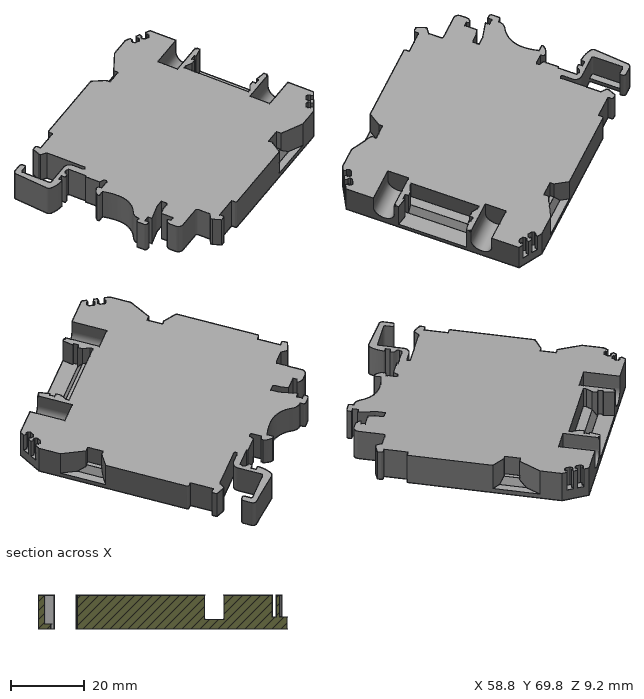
import cadquery as cq
import math

width = 58.8
height = 69.8
thickness = 9.2
half_width = width / 2
overshoot = 0.7

corner_run = 3.9
corner_drop = 6.8
corner_x = half_width - corner_run
corner_y = height - corner_drop

notch_depth = 1.5
notch_top = 20.1
notch_bottom = 13.5
lug_side_bottom = 11.95
lug_tip_y = 10.95
lug_tip_outer_x = 27.0
lug_tip_inner_x = 26.5
lug_root_x = 25.4
underside_y = 12.5
edge_round = 0.5
small_round = 0.2

arm_slot_bottom = 11.5
arm_slot_end_x = -13.3
arm_slot_round = 0.4
arm_outer_x = -18.6
arm_inner_x = -17.4
arm_bend_radius = 1.9
arm_underside_y = 9.55
arm_corner_x = -16.95
arm_corner_y = 8.7
tooth_x = -16.2
lower_tooth_top = 4.8
upper_tooth_bottom = 6.3
upper_tooth_top = 7.4
upper_tooth_root_y = 8.1
hook_floor_y = 2.4
hook_lip_top = 5.0
hook_lip_width = 1.7
hook_lip_inner_x = hook_lip_width - half_width
hook_lip_round = 0.8
hook_lip_inner_round = 0.35
hook_heel_y = 1.0
hook_heel_round = 1.05
hook_toe_x = -18.35
hook_toe_radius = 1.25
hook_bend_start = (-17.4, 0.5)
hook_bend_end = (-16.25, 4.3)
hook_bend_radius = 9.1
hook_web_top = 4.1
hook_web_thickness = 1.4
hook_web_fillet = 0.3
hook_web_side_top = 4.5

rail_step_x = -11.5
rail_step_y = 9.15
rail_end_x = -7.05
relief_top = 10.55
left_relief_left = -6.4
left_relief_right = -5.45
spur_top = 7.4
spur_shoulder_y = 7.25
spur_nose = (-6.6, 6.5)
spur_tip_x = -4.5
spur_tip_y = 4.2
spur_belly_end = (-5.2, 4.3)
spur_belly_radius = 4.2

cradle_start_y = 6.15
cradle_crown = (0.1, 6.8)
cradle_shallow_radius = 16.75
cradle_radius = 7.8
cradle_foot = (7.05, 2.7)
cradle_fillet_end_x = 9.0
cradle_fillet_radius = 2.8

foot_left = 9.5
foot_right = 12.6
foot_top = 1.5
foot_right_round = 0.7
foot_groove_left = 11.4
foot_groove_top = 3.15
slot_taper_y = 8.1

right_relief_right = 13.3
claw_shelf_left = 13.8
claw_shelf_y = 6.2
claw_shelf_right = 17.45
claw_nose = (16.5, 4.8)
claw_throat_y = 5.0
claw_bottom = 3.55
claw_right = 21.2
claw_nose_radius = 1.7
claw_nose_end_x = 18.1
claw_round = 1.5

channel_x = 14.4
channel_radius = 3.1
channel_axis_z = 5.0
channel_bottom_y = 59.75

mouth_step_width = 0.4
mouth_step_length = 0.3
mouth_step_depth = 0.4

pocket_half_width = 10.0
pocket_throat_half = 9.4
pocket_neck_half = 9.0
pocket_catch_y = 66.7
pocket_ramp_low_y = 65.25
pocket_ramp_high_y = 63.8
pocket_flare_y = 62.0
pocket_bottom_y = 61.15
pocket_floor_z = 1.25

recess_top_y = 56.95
recess_bottom_y = 43.9
recess_slot_top = 50.7
recess_slot_bottom = 46.3
recess_slant_x = 26.1
recess_slot_x = 24.7
recess_ramp_outer_x = 27.2
recess_ramp_inner_x = 25.8
recess_floor_z = 1.4
ramp_rise = 1.95

groove_mouth_width = 1.9
groove_neck_width = 1.4
groove_neck_depth = 0.9
groove_head_width = 2.2
groove_depth = 2.1
groove_head_bevel = 0.5
groove_floor_z = 3.3
groove_distances = (2.4, 5.4)


def corner_ends(before, corner, after, radius):
    """Return the two points where a round of the given radius meets the sides of a corner."""
    to_before = (cq.Vector(*before) - cq.Vector(*corner)).normalized()
    to_after = (cq.Vector(*after) - cq.Vector(*corner)).normalized()
    setback = radius / math.tan(to_before.getAngle(to_after) / 2)
    start = cq.Vector(*corner) + to_before * setback
    end = cq.Vector(*corner) + to_after * setback
    return start.toTuple()[:2], end.toTuple()[:2]


def trace(path, corners):
    """Continue a path through (x, y) corners or (x, y, radius) rounded corners.

    The first corner is the present end of the path.
    """
    for before, corner, after in zip(corners, corners[1:], corners[2:]):
        if len(corner) == 2:
            path = path.lineTo(*corner)
        else:
            start, end = corner_ends(before[:2], corner[:2], after[:2], corner[2])
            path = path.lineTo(*start).tangentArcPoint(end, relative=False)
    return path.lineTo(*corners[-1][:2])


def flank(side):
    """Corners of one outer side from the top edge down to the lug; side is -1 left, +1 right."""
    notch_x = half_width - notch_depth
    corners = [
        (corner_x, height),
        (half_width, corner_y),
        (half_width, notch_top, edge_round),
        (notch_x, notch_top),
        (notch_x, notch_bottom),
        (half_width, notch_bottom, edge_round),
        (half_width, lug_side_bottom),
        (lug_tip_outer_x, lug_tip_y),
        (lug_tip_inner_x, lug_tip_y),
        (lug_root_x, underside_y),
    ]
    return [(side * x, *rest) for x, *rest in corners]


def arm_and_hook():
    """Corners from the left lug round the spring arm slot and the hook to its bent toe."""
    return [
        (-lug_root_x, underside_y),
        (arm_slot_end_x, underside_y, arm_slot_round),
        (arm_slot_end_x, arm_slot_bottom, arm_slot_round),
        (arm_outer_x, arm_slot_bottom, arm_bend_radius),
        (arm_outer_x, hook_floor_y, edge_round),
        (hook_lip_inner_x, hook_floor_y, edge_round),
        (hook_lip_inner_x, hook_lip_top, hook_lip_inner_round),
        (-half_width, hook_lip_top, hook_lip_round),
        (-half_width, hook_heel_y, hook_heel_round),
        (hook_toe_x, 0),
    ]


def arm_teeth_and_spur():
    """Corners from the bent toe up the toothed arm and along the rail seat to the spur nose."""
    return [
        hook_bend_end,
        (tooth_x, lower_tooth_top, small_round),
        (arm_inner_x, lower_tooth_top),
        (arm_inner_x, upper_tooth_bottom),
        (tooth_x, upper_tooth_bottom, small_round),
        (tooth_x, upper_tooth_top, edge_round),
        (arm_inner_x, upper_tooth_root_y, edge_round),
        (arm_inner_x, arm_corner_y),
        (arm_corner_x, arm_underside_y),
        (rail_step_x, arm_underside_y),
        (rail_step_x, rail_step_y),
        (rail_end_x, rail_step_y),
        (left_relief_left, relief_top, small_round),
        (left_relief_right, relief_top, edge_round),
        (left_relief_right, spur_top),
        (left_relief_left, spur_shoulder_y, small_round),
        spur_nose,
    ]


def foot_and_claw():
    """Corners from the cradle round the central foot and its slot to the claw nose."""
    return [
        (cradle_fillet_end_x, foot_top),
        (foot_left, foot_top),
        (foot_left, 0, edge_round),
        (foot_right, 0, foot_right_round),
        (foot_right, foot_top),
        (foot_groove_left, foot_top),
        (foot_groove_left, foot_groove_top),
        (foot_right, foot_groove_top),
        (foot_groove_left, slot_taper_y),
        (foot_groove_left, relief_top),
        (right_relief_right, relief_top, edge_round),
        (right_relief_right, slot_taper_y),
        (claw_shelf_left, claw_shelf_y),
        (claw_shelf_right, claw_shelf_y),
        (claw_shelf_right, claw_throat_y),
        claw_nose,
    ]


def claw_right_side():
    """Corners from the bottom of the claw up to the right lug."""
    return [
        (claw_nose_end_x, claw_bottom),
        (claw_right, claw_bottom, claw_round),
        (claw_right, underside_y, edge_round),
        (lug_root_x, underside_y),
    ]


def housing():
    """Full-thickness body drawn as one closed outline, starting at the left end of the top edge."""
    spur_tip = [
        spur_belly_end,
        (spur_tip_x, spur_tip_y, small_round),
        (spur_tip_x, cradle_start_y),
    ]
    path = cq.Workplane("XY").moveTo(-corner_x, height)
    path = trace(path, flank(-1))
    path = trace(path, arm_and_hook())
    path = path.radiusArc(hook_bend_start, -hook_toe_radius)
    path = path.radiusArc(hook_bend_end, -hook_bend_radius)
    path = trace(path, arm_teeth_and_spur())
    path = path.radiusArc(spur_belly_end, -spur_belly_radius)
    path = trace(path, spur_tip)
    path = path.radiusArc(cradle_crown, cradle_shallow_radius)
    path = path.radiusArc(cradle_foot, cradle_radius)
    path = path.radiusArc((cradle_fillet_end_x, foot_top), -cradle_fillet_radius)
    path = trace(path, foot_and_claw())
    path = path.radiusArc((claw_nose_end_x, claw_bottom), -claw_nose_radius)
    path = trace(path, claw_right_side())
    path = trace(path, flank(1)[::-1])
    return path.close().extrude(thickness)


def hook_web():
    """Thin web that closes the bottom of the hook at the back face."""
    left = -half_width + hook_lip_width / 2
    right = (arm_outer_x + arm_inner_x) / 2
    bottom = hook_floor_y - overshoot
    corners = [
        (left, bottom),
        (left, hook_web_side_top),
        (hook_lip_inner_x, hook_web_side_top),
        (hook_lip_inner_x, hook_web_top, hook_web_fillet),
        (arm_outer_x, hook_web_top, hook_web_fillet),
        (arm_outer_x, hook_web_side_top),
        (right, hook_web_side_top),
        (right, bottom),
    ]
    path = trace(cq.Workplane("XY").moveTo(left, bottom), corners)
    return path.close().extrude(hook_web_thickness)


def screw_channel(x):
    """Round-bottomed channel, open at the top edge and at the front face."""
    length = height + overshoot - channel_bottom_y
    wall_top = thickness + overshoot
    return (
        cq.Workplane("XZ", origin=(x, height + overshoot, 0))
        .moveTo(-channel_radius, wall_top)
        .lineTo(-channel_radius, channel_axis_z)
        .threePointArc((0, channel_axis_z - channel_radius), (channel_radius, channel_axis_z))
        .lineTo(channel_radius, wall_top)
        .close()
        .extrude(length)
    )


def mouth_step(side):
    """Small step at the end of a channel wall, in the front corner next to the marker pocket."""
    wall_x = channel_x - channel_radius
    return (
        cq.Workplane("XY")
        .box(2 * mouth_step_width, 2 * mouth_step_length, 2 * mouth_step_depth)
        .translate((side * wall_x, height, thickness))
    )


def marker_pocket():
    """Undercut pocket whose floor climbs a ramp away from the top edge."""
    half_plan = [
        (pocket_half_width, height + overshoot),
        (pocket_half_width, height),
        (pocket_throat_half, pocket_catch_y),
        (pocket_half_width, pocket_catch_y),
        (pocket_half_width, pocket_ramp_low_y),
        (pocket_neck_half, pocket_ramp_low_y),
        (pocket_neck_half, pocket_ramp_high_y),
        (pocket_half_width, pocket_flare_y),
        (pocket_half_width, pocket_bottom_y),
    ]
    mirrored = [(-x, y) for x, y in reversed(half_plan)]
    plan = cq.Workplane("XY").polyline(half_plan + mirrored).close().extrude(thickness + overshoot)
    side_profile = [
        (height + overshoot, pocket_floor_z),
        (pocket_ramp_low_y, pocket_floor_z),
        (pocket_ramp_high_y, pocket_floor_z + ramp_rise),
        (pocket_bottom_y, pocket_floor_z + ramp_rise),
        (pocket_bottom_y, thickness + overshoot),
        (height + overshoot, thickness + overshoot),
    ]
    space = cq.Workplane("YZ").polyline(side_profile).close().extrude(pocket_half_width, both=True)
    return plan.intersect(space)


def right_recess():
    """Funnel in the right side, with a ramp up to a narrow inner ledge."""
    plan_points = [
        (half_width, recess_top_y),
        (recess_slant_x, recess_slot_top),
        (recess_slot_x, recess_slot_top),
        (recess_slot_x, recess_slot_bottom),
        (recess_ramp_inner_x, recess_slot_bottom),
        (half_width, recess_bottom_y),
    ]
    plan = cq.Workplane("XY").polyline(plan_points).close().extrude(thickness + overshoot)
    end_profile = [
        (half_width, recess_floor_z),
        (recess_ramp_outer_x, recess_floor_z),
        (recess_ramp_inner_x, recess_floor_z + ramp_rise),
        (recess_slot_x, recess_floor_z + ramp_rise),
        (recess_slot_x, thickness + overshoot),
        (half_width, thickness + overshoot),
    ]
    space = cq.Workplane("XZ").polyline(end_profile).close().extrude(-height)
    return plan.intersect(space)


def right_label_groove(distance):
    """T-shaped groove square to the right sloped corner, at a distance along the slope."""
    half_mouth = groove_mouth_width / 2
    half_neck = groove_neck_width / 2
    half_head = groove_head_width / 2
    slope = cq.Plane(
        origin=(corner_x, height, groove_floor_z),
        xDir=(corner_run, -corner_drop, 0),
        normal=(0, 0, 1),
    )
    half_shape = [
        (half_mouth, overshoot),
        (half_mouth, 0),
        (half_neck, -groove_neck_depth),
        (half_head, -groove_neck_depth),
        (half_head, groove_head_bevel - groove_depth),
        (half_head - groove_head_bevel, -groove_depth),
    ]
    mirrored = [(-x, y) for x, y in reversed(half_shape)]
    shape = [(distance + x, y) for x, y in half_shape + mirrored]
    return cq.Workplane(slope).polyline(shape).close().extrude(thickness)


result = housing().union(hook_web()).cut(marker_pocket())

for side in (-1, 1):
    result = result.cut(screw_channel(side * channel_x)).cut(mouth_step(side))

right_cutters = [right_recess()] + [right_label_groove(distance) for distance in groove_distances]
for cutter in right_cutters:
    result = result.cut(cutter).cut(cutter.mirror("YZ"))